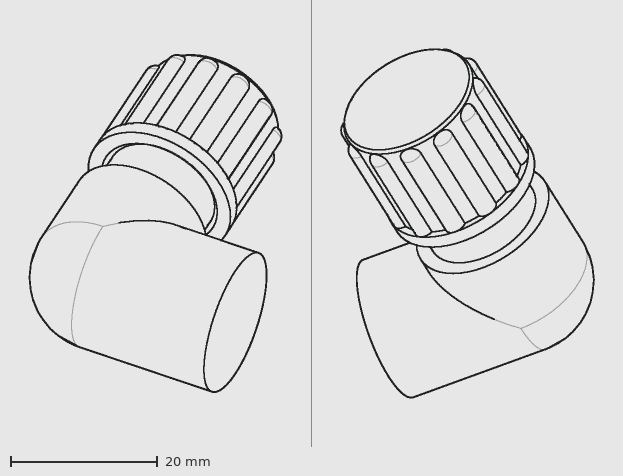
import cadquery as cq

leg_diameter = 20.0
leg_radius = leg_diameter / 2
socket_length = leg_diameter
shoulder_y = 12.0
neck_diameter = 16.0

nut_start_y = 18.05
nut_end_y = 46 - leg_radius
collar_diameter = 21.5
collar_width = 2.0
grip_diameter = 19.5
end_chamfer_length = 0.5
end_chamfer_inset = 0.3
mouth_chamfer = 0.75
bore_depth = 11.95
bore_end_y = nut_start_y + bore_depth

rib_count = 12
rib_radius = 1.5
rib_axis_radius = collar_diameter / 2 - rib_radius
rib_end_y = 34.0
rib_start_angle = 1.8


def y_cylinder(diameter, start_y, end_y):
    """Solid cylinder along the Y axis between two Y positions."""
    base = cq.Workplane("XZ", origin=(0, start_y, 0))
    return base.circle(diameter / 2).extrude(start_y - end_y)


def make_mitred_leg():
    """Leg along +Y, cut at 45 degrees where it meets the leg along +X."""
    leg = y_cylinder(leg_diameter, 0, shoulder_y)
    mitre_half = (
        cq.Workplane("XY", origin=(0, 0, -leg_radius))
        .polyline([(-leg_radius, 0), (0, 0), (leg_radius, leg_radius),
                   (leg_radius, shoulder_y), (-leg_radius, shoulder_y)])
        .close()
        .extrude(leg_diameter)
    )
    return leg.intersect(mitre_half)


def make_elbow():
    """Elbow with a spherical outer corner and a neck entering the nut."""
    socket_leg = cq.Workplane("YZ").circle(leg_radius).extrude(socket_length)
    corner = cq.Workplane("XY").sphere(leg_radius)
    neck = y_cylinder(neck_diameter, shoulder_y, bore_end_y)
    return socket_leg.union(corner).union(make_mitred_leg()).union(neck)


def make_rib(angle):
    """Rib with a spherical end, turned about the nut axis from the +Z side."""
    bar = y_cylinder(2 * rib_radius, nut_start_y + collar_width, rib_end_y)
    tip = cq.Workplane("XY").sphere(rib_radius).translate((0, rib_end_y, 0))
    rib = bar.union(tip).translate((0, 0, rib_axis_radius))
    return rib.rotate((0, 0, 0), (0, 1, 0), angle)


def make_nut():
    """Ribbed nut with a collar and a blind bore, chamfered at its mouth, that fits the neck."""
    nut = y_cylinder(grip_diameter, nut_start_y, nut_end_y)
    nut = nut.faces(">Y").chamfer(end_chamfer_length, end_chamfer_inset)
    nut = nut.union(y_cylinder(collar_diameter, nut_start_y, nut_start_y + collar_width))
    for index in range(rib_count):
        nut = nut.union(make_rib(index * 360 / rib_count - rib_start_angle))
    nut = nut.cut(y_cylinder(neck_diameter, nut_start_y, bore_end_y))
    bore_rim = nut.faces("<Y").edges(cq.selectors.RadiusNthSelector(0))
    return bore_rim.chamfer(mouth_chamfer)


elbow = make_elbow()
nut = make_nut()
result = cq.Compound.makeCompound([elbow.val(), nut.val()])